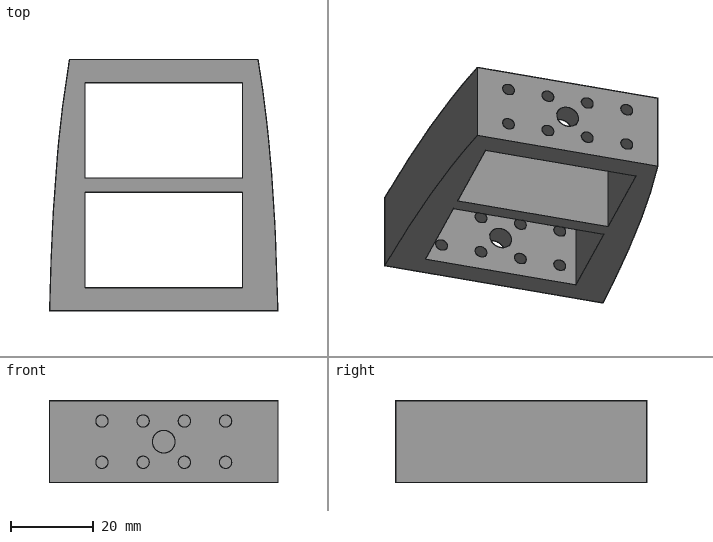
import cadquery as cq

length = 60.8
height = 19.8
front_width = 55.25
back_width = 45.65

front_station = -9.0
front_station_half_width = 26.9
back_station = 11.4
back_station_half_width = 25.35

window_width = 38.05
end_wall = 5.65
rib_thickness = 3.5
window_length = (length - 2 * end_wall - rib_thickness) / 2
window_offset = (window_length + rib_thickness) / 2

center_hole_diameter = 5.5
small_hole_diameter = 3.0
hole_pitch = 10.0
hole_columns = 4
hole_rows = 2


def side_points(side):
    """Points of one curved side, front to back; side is +1 or -1."""
    return [
        (side * front_width / 2, -length / 2),
        (side * front_station_half_width, front_station),
        (side * back_station_half_width, back_station),
        (side * back_width / 2, length / 2),
    ]


def make_body():
    right_side = side_points(1)
    left_side = side_points(-1)[::-1]
    return (
        cq.Workplane("XY", origin=(0, 0, -height / 2))
        .moveTo(*right_side[0])
        .spline(right_side[1:], includeCurrent=True)
        .lineTo(*left_side[0])
        .spline(left_side[1:], includeCurrent=True)
        .close()
        .extrude(height)
    )


def make_windows():
    return (
        cq.Workplane("XY", origin=(0, 0, -height / 2))
        .pushPoints([(0, -window_offset), (0, window_offset)])
        .rect(window_width, window_length)
        .extrude(height)
    )


def make_wall_holes(wall_back_face):
    """Cutters through one end wall, from its back (+Y) face toward -Y."""
    wall = cq.Workplane("XZ", origin=(0, wall_back_face, 0))
    center_hole = wall.circle(center_hole_diameter / 2).extrude(end_wall)
    small_holes = (
        wall.rarray(hole_pitch, hole_pitch, hole_columns, hole_rows)
        .circle(small_hole_diameter / 2)
        .extrude(end_wall)
    )
    return center_hole.union(small_holes)


result = make_body().cut(make_windows())
for wall_back_face in (-length / 2 + end_wall, length / 2):
    result = result.cut(make_wall_holes(wall_back_face))